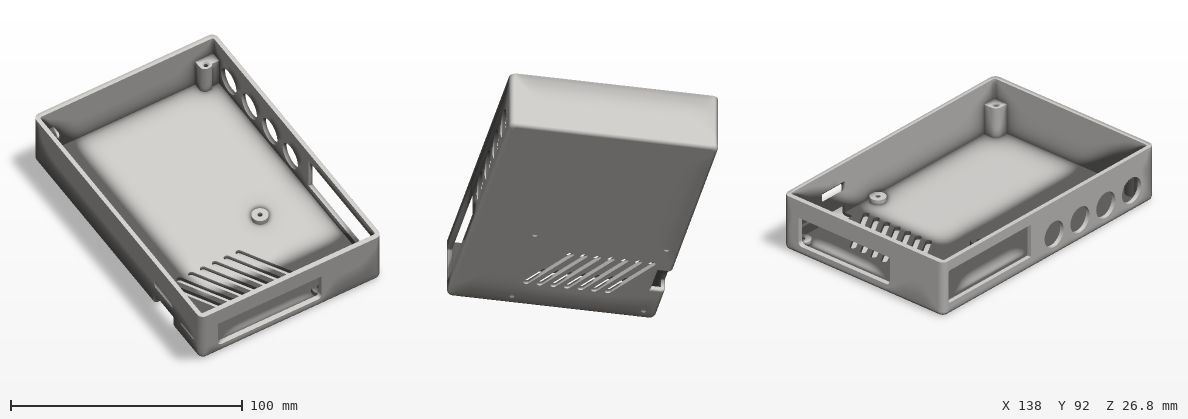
import cadquery as cq
import math

LENGTH = 138.0
WIDTH = 92.0
HEIGHT = 26.8
END_WALL = 2.4
SIDE_WALL = 2.0
FLOOR = 2.0
CORNER_RADIUS = 3.0
INNER_CORNER_RADIUS = 1.0
BOTTOM_FILLET = 1.9

INNER_X = LENGTH / 2 - END_WALL
INNER_Y = WIDTH / 2 - SIDE_WALL
CUT_MARGIN = 1.0
TOLERANCE = 0.01

BOARD_X = 38.5
BOARD_Y = -11.0
BOSS_SPACING_X = 49.0
BOSS_SPACING_Y = 58.0
BOSS_DIAMETER = 7.5
BOSS_HEIGHT = 2.4
BOSS_TOP = FLOOR + BOSS_HEIGHT
BOSS_HOLE_DIAMETER = 2.3

VENT_COUNT = 7
VENT_PITCH = 6.0
VENT_WIDTH = 2.8
VENT_SPAN_X = 25.0
VENT_ANGLE = 30.0

PORT_COUNT = 4
PORT_DIAMETER = 12.46
PORT_PITCH = 16.85
PORT_FIRST_X = -53.9
PORT_Z = 10.5

POST_TOP = PORT_Z + PORT_DIAMETER / 2
POST_X = -63.0
FRONT_POST_Y = -40.0
FRONT_POST_REACH = 3.15
FRONT_POST_RADIUS = 3.1
BACK_POST_Y = 38.0
BACK_POST_DIAMETER = 5.25
BACK_POST_LENGTH = 5.9
BACK_POST_REACH = 3.15
BACK_POST_RADIUS = 2.6
BACK_POST_STEM_REACH = 1.2
POST_HOLE_DIAMETER = 1.8
POST_HOLE_DEPTH = 8.0
POST_SINK_DIAMETER = 3.4
POST_SINK_DEPTH = 0.8

BACK_WINDOW_X = (11.8, 65.5)
BACK_WINDOW_Z = (5.7, 21.8)
BACK_WINDOW_RADIUS = 1.0
END_WINDOW_WIDTH = 52.6
END_WINDOW_Z = (4.4, 18.3)
END_WINDOW_RADIUS = 2.0

CARD_SLOT_WIDTH = 15.0
CARD_SLOT_Z = (11.7, 15.7)
CARD_SLOT_ANGLE = 45.0
CARD_SLOT_RADIUS = 0.8
LIGHT_SLOT_OFFSET = 19.5
LIGHT_SLOT_X = BOARD_X + LIGHT_SLOT_OFFSET
LIGHT_SLOT_WIDTH = 11.0
LIGHT_SLOT_Z = (7.8, 9.3)
LIGHT_SLOT_ANGLE = -30.0
LIGHT_SLOT_RADIUS = 0.5

NOTCH_WIDTH = 15.0
NOTCH_TOP = 5.9
NOTCH_BACK_Y = -39.6
NOTCH_FILLET = 1.0


def box(x_range, y_range, z_range):
    """Box spanning the given coordinate ranges."""
    size = [high - low for low, high in (x_range, y_range, z_range)]
    corner = (x_range[0], y_range[0], z_range[0])
    return cq.Workplane("XY").box(*size, centered=False).translate(corner)


def make_tray():
    outer = cq.Workplane("XY").rect(LENGTH, WIDTH).extrude(HEIGHT)
    outer = outer.edges("|Z").fillet(CORNER_RADIUS)
    outer = outer.faces("<Z").edges().fillet(BOTTOM_FILLET)
    cavity = cq.Workplane("XY").workplane(offset=FLOOR).rect(2 * INNER_X, 2 * INNER_Y).extrude(HEIGHT)
    return outer.cut(cavity.edges("|Z").fillet(INNER_CORNER_RADIUS))


def is_notch_rim(edge):
    """True for an edge where the notch meets the outside skin of the tray."""
    middle = edge.positionAt(0.5)
    in_notch_x = abs(middle.x - BOARD_X) < NOTCH_WIDTH / 2 + TOLERANCE
    in_notch_y = middle.y < NOTCH_BACK_Y + TOLERANCE
    in_notch_z = middle.z < NOTCH_TOP + TOLERANCE
    on_skin = middle.z < BOTTOM_FILLET / 2 or middle.y < -WIDTH / 2 + BOTTOM_FILLET / 2
    return in_notch_x and in_notch_y and in_notch_z and on_skin


def cut_notch(body):
    """Opening through wall and floor, with its outside edges rounded over."""
    side = NOTCH_WIDTH / 2
    wall_y = -WIDTH / 2
    opening = box(
        (BOARD_X - side, BOARD_X + side),
        (wall_y - CUT_MARGIN, NOTCH_BACK_Y),
        (-CUT_MARGIN, NOTCH_TOP),
    )
    body = body.cut(opening)
    rim = [edge for edge in body.edges().vals() if is_notch_rim(edge)]
    return body.newObject(rim).fillet(NOTCH_FILLET)


def add_bosses(body):
    def boss_centres(offset):
        plane = cq.Workplane("XY").workplane(offset=offset).center(BOARD_X, BOARD_Y)
        return plane.rect(BOSS_SPACING_X, BOSS_SPACING_Y, forConstruction=True).vertices()

    bosses = boss_centres(FLOOR / 2).circle(BOSS_DIAMETER / 2).extrude(BOSS_TOP - FLOOR / 2)
    holes = boss_centres(-CUT_MARGIN).circle(BOSS_HOLE_DIAMETER / 2).extrude(BOSS_TOP + 2 * CUT_MARGIN)
    return body.union(bosses).cut(holes)


def cut_vents(body):
    slot_length = VENT_SPAN_X / math.cos(math.radians(VENT_ANGLE)) + VENT_WIDTH
    vents = (
        cq.Workplane("XY")
        .workplane(offset=-CUT_MARGIN)
        .center(BOARD_X, BOARD_Y)
        .rarray(1, VENT_PITCH, 1, VENT_COUNT)
        .slot2D(slot_length, VENT_WIDTH, VENT_ANGLE)
        .extrude(FLOOR + 2 * CUT_MARGIN)
    )
    return body.cut(vents)


def make_post_hole(post_y):
    """Blind screw hole with a conical mouth, as a solid of revolution."""
    hole_radius = POST_HOLE_DIAMETER / 2
    mouth_radius = POST_SINK_DIAMETER / 2
    outline = [
        (0, 0),
        (mouth_radius, 0),
        (hole_radius, -POST_SINK_DEPTH),
        (hole_radius, -POST_HOLE_DEPTH),
        (0, -POST_HOLE_DEPTH),
    ]
    hole = cq.Workplane("XZ").polyline(outline).close().revolve(360, (0, 0), (0, 1))
    return hole.translate((POST_X, post_y, POST_TOP))


def add_posts(body):
    wall_x = -INNER_X - END_WALL / 2
    wall_y = INNER_Y + SIDE_WALL / 2
    z_range = (FLOOR / 2, POST_TOP)

    front = box(
        (wall_x, POST_X + FRONT_POST_REACH),
        (-wall_y, FRONT_POST_Y + FRONT_POST_REACH),
        z_range,
    )
    front = front.edges("|Z and >X and >Y").fillet(FRONT_POST_RADIUS)

    back_low_y = BACK_POST_Y - BACK_POST_REACH
    back = box(
        (wall_x, POST_X + BACK_POST_DIAMETER / 2),
        (back_low_y, back_low_y + BACK_POST_LENGTH),
        z_range,
    )
    back = back.edges("|Z and >X").fillet(BACK_POST_RADIUS)
    stem = box((wall_x, POST_X + BACK_POST_STEM_REACH), (BACK_POST_Y, wall_y), z_range)

    body = body.union(front).union(back).union(stem)
    for post_y in (FRONT_POST_Y, BACK_POST_Y):
        body = body.cut(make_post_hole(post_y))
    return body


def cut_ports(body):
    for index in range(PORT_COUNT):
        port = (
            cq.Workplane("XZ", origin=(PORT_FIRST_X + index * PORT_PITCH, INNER_Y - CUT_MARGIN, PORT_Z))
            .circle(PORT_DIAMETER / 2)
            .extrude(-SIDE_WALL - 2 * CUT_MARGIN)
        )
        body = body.cut(port)
    return body


def cut_windows(body):
    back = box(BACK_WINDOW_X, (INNER_Y - CUT_MARGIN, WIDTH / 2 + CUT_MARGIN), BACK_WINDOW_Z)
    end = box(
        (INNER_X - CUT_MARGIN, LENGTH / 2 + CUT_MARGIN),
        (BOARD_Y - END_WINDOW_WIDTH / 2, BOARD_Y + END_WINDOW_WIDTH / 2),
        END_WINDOW_Z,
    )
    body = body.cut(back.edges("|Y and >X").fillet(BACK_WINDOW_RADIUS))
    return body.cut(end.edges("|X and <Z").fillet(END_WINDOW_RADIUS))


def cut_slanted_slot(body, centre_x, width, z_range, angle, radius):
    """Slot through the -Y wall, climbing inwards at `angle`; `z_range` holds on the outside face."""
    bottom, top = z_range
    slope = math.tan(math.radians(angle))
    run = SIDE_WALL + 2 * CUT_MARGIN
    start_y = -WIDTH / 2 - CUT_MARGIN
    start_drop = CUT_MARGIN * slope
    profile = [
        (start_y, bottom - start_drop),
        (start_y + run, bottom - start_drop + run * slope),
        (start_y + run, top - start_drop + run * slope),
        (start_y, top - start_drop),
    ]
    slot = cq.Workplane("YZ", origin=(centre_x - width / 2, 0, 0)).polyline(profile).close().extrude(width)
    along_slot = cq.selectors.ParallelDirSelector(cq.Vector(0, 1, slope))
    return body.cut(slot.edges(along_slot).fillet(radius))


result = make_tray()
result = cut_notch(result)
result = add_bosses(result)
result = cut_vents(result)
result = add_posts(result)
result = cut_ports(result)
result = cut_windows(result)
result = cut_slanted_slot(
    result, BOARD_X, CARD_SLOT_WIDTH, CARD_SLOT_Z, CARD_SLOT_ANGLE, CARD_SLOT_RADIUS
)
result = cut_slanted_slot(
    result, LIGHT_SLOT_X, LIGHT_SLOT_WIDTH, LIGHT_SLOT_Z, LIGHT_SLOT_ANGLE, LIGHT_SLOT_RADIUS
)